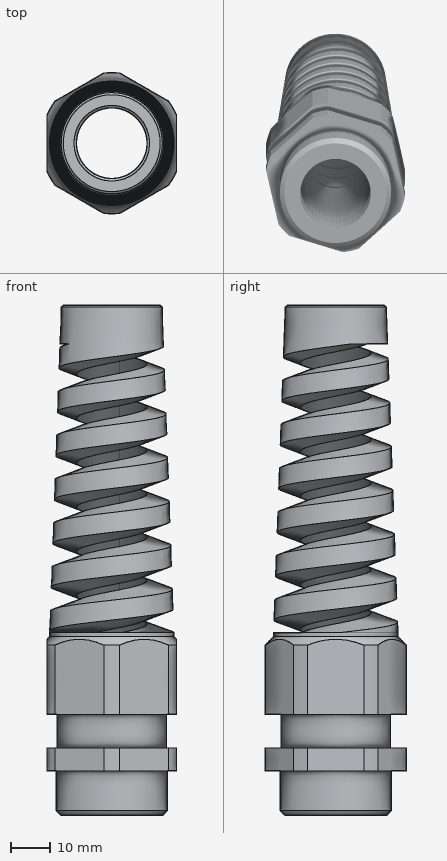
import cadquery as cq
import math

total_height = 130.0
bore_diameter = 18.0

thread_diameter = 28.3
neck_diameter = 28.0
across_flats = 33.0
corner_diameter = 36.0
thread_chamfer = 1.2
flange_bottom = 11.3
flange_top = 17.2
nut_bottom = 25.7
collar_bottom = 45.5

sleeve_bottom = 46.5
ring_bottom = 120.1
sleeve_bottom_radius = 15.9
sleeve_top_radius = 12.9
sleeve_slope = (sleeve_bottom_radius - sleeve_top_radius) / (total_height - sleeve_bottom)
rim_chamfer = 0.5
mouth_chamfer = 0.6

groove_pitch = 11.2
groove_start = 38.4
groove_turns = 8
groove_mouth = 6.1
groove_wall_slope = math.tan(math.radians(19))
groove_overlap = 1.0
groove_depth = 8.0
seam_angle = 77


def sleeve_radius(z):
    return sleeve_top_radius + sleeve_slope * (total_height - z)


def cylinder(diameter, bottom, top):
    return cq.Workplane("XY").workplane(offset=bottom).circle(diameter / 2).extrude(top - bottom)


def hexagon(bottom, top):
    """Hexagon with flats facing +X and -X once the body is turned, and its corners rounded to a circle."""
    sharp_diameter = across_flats / math.cos(math.radians(30))
    prism = (
        cq.Workplane("XY").workplane(offset=bottom)
        .transformed(rotate=(0, 0, 30 - seam_angle))
        .polygon(6, sharp_diameter)
        .extrude(top - bottom)
    )
    return prism.intersect(cylinder(corner_diameter, bottom, top))


def cone_band(bottom, top):
    """Part of the tapered sleeve between two heights."""
    outline = [(0, bottom), (sleeve_radius(bottom), bottom), (sleeve_radius(top), top), (0, top)]
    return cq.Workplane("XZ").polyline(outline).close().revolve(360, (0, 0), (0, 1))


def nut():
    """Hexagonal nut with a 45 degree cone turned on its upper end."""
    corner_radius = corner_diameter / 2
    cone_rise = corner_radius - sleeve_bottom_radius
    envelope = (
        cylinder(corner_diameter, nut_bottom, collar_bottom)
        .faces(">Z").chamfer(cone_rise)
    )
    return hexagon(nut_bottom, collar_bottom).intersect(envelope)


def spiral_groove():
    """Trapezoid swept along a helix that follows the sleeve taper, kept between collar and ring."""
    radius = sleeve_radius(groove_start)
    taper = math.degrees(math.atan(sleeve_slope))
    helix = cq.Wire.makeHelix(groove_pitch, groove_turns * groove_pitch, radius, angle=-taper)
    path = cq.Workplane("XY").add(helix.translate(cq.Vector(0, 0, groove_start)))
    outer_half = groove_mouth / 2 + groove_overlap * groove_wall_slope
    inner_half = groove_mouth / 2 - groove_depth * groove_wall_slope
    outer = radius + groove_overlap
    inner = radius - groove_depth
    profile = cq.Workplane("XZ").polyline([
        (inner, groove_start - inner_half),
        (outer, groove_start - outer_half),
        (outer, groove_start + outer_half),
        (inner, groove_start + inner_half),
    ]).close()
    limits = cylinder(2 * corner_diameter, sleeve_bottom, ring_bottom)
    return profile.sweep(path, isFrenet=True).intersect(limits, clean=False)


thread = cylinder(thread_diameter, 0, flange_bottom).faces("<Z").chamfer(thread_chamfer)
neck = cylinder(neck_diameter, flange_top, nut_bottom)
collar = cylinder(2 * sleeve_bottom_radius, collar_bottom, sleeve_bottom)
gland = thread.union(hexagon(flange_bottom, flange_top)).union(neck).union(nut()).union(collar)

sleeve = cone_band(sleeve_bottom, total_height).faces(">Z").chamfer(rim_chamfer)
body = gland.union(sleeve).cut(cylinder(bore_diameter, 0, total_height))
body = body.faces(">Z").edges(cq.selectors.RadiusNthSelector(0)).chamfer(mouth_chamfer)
body = body.rotate((0, 0, 0), (0, 0, 1), seam_angle)

result = body.cut(spiral_groove(), clean=False)